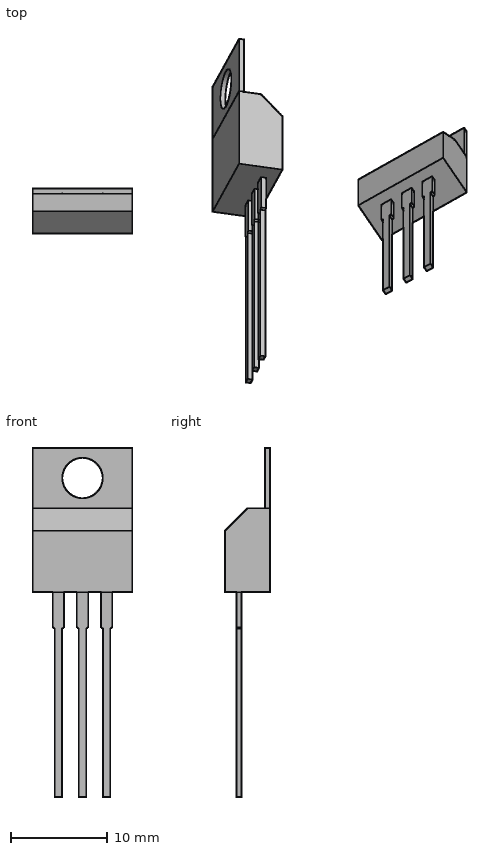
import cadquery as cq

width = 10.4
depth = 4.7
total_height = 36.35

tab_height = 6.3
tab_thickness = 0.55
tab_hole_diameter = 4.18

housing_height = 8.72
housing_chamfer = 2.33
housing_top = total_height - tab_height
housing_bottom = housing_top - housing_height

lead_count = 3
lead_pitch = 2.5
lead_thickness = 0.55
lead_back_offset = 2.95
shoulder_width = 1.2
shoulder_height = 3.65
tip_width = 0.8
taper_height = 0.18
taper_top = housing_bottom - shoulder_height
taper_bottom = taper_top - taper_height


def make_tab():
    """Flat plate standing on the housing, flush with its back, with a central hole."""
    plate = cq.Workplane("XY").box(
        width, tab_thickness, tab_height, centered=(True, False, False)
    )
    plate = plate.translate((0, -tab_thickness, housing_top))
    return plate.faces("<Y").workplane(centerOption="CenterOfMass").hole(tab_hole_diameter)


def make_housing():
    """Block with a chamfer along its top front edge."""
    block = cq.Workplane("XY").box(
        width, depth, housing_height, centered=(True, False, False)
    )
    block = block.translate((0, -depth, housing_bottom))
    return block.faces(">Z").edges("<Y").chamfer(housing_chamfer)


def make_lead(x_center):
    """Flat lead with a wide shoulder that tapers to a narrow tip."""
    half_shoulder = shoulder_width / 2
    half_tip = tip_width / 2
    outline = [
        (-half_shoulder, housing_bottom),
        (half_shoulder, housing_bottom),
        (half_shoulder, taper_top),
        (half_tip, taper_bottom),
        (half_tip, 0),
        (-half_tip, 0),
        (-half_tip, taper_bottom),
        (-half_shoulder, taper_top),
    ]
    lead = cq.Workplane("XZ").polyline(outline).close().extrude(lead_thickness)
    return lead.translate((x_center, -lead_back_offset, 0))


tab = make_tab()
housing = make_housing()

leads = []
for index in range(lead_count):
    x_center = (index - (lead_count - 1) / 2) * lead_pitch
    leads.append(make_lead(x_center).val())

result = cq.Compound.makeCompound([tab.val(), housing.val(), *leads])